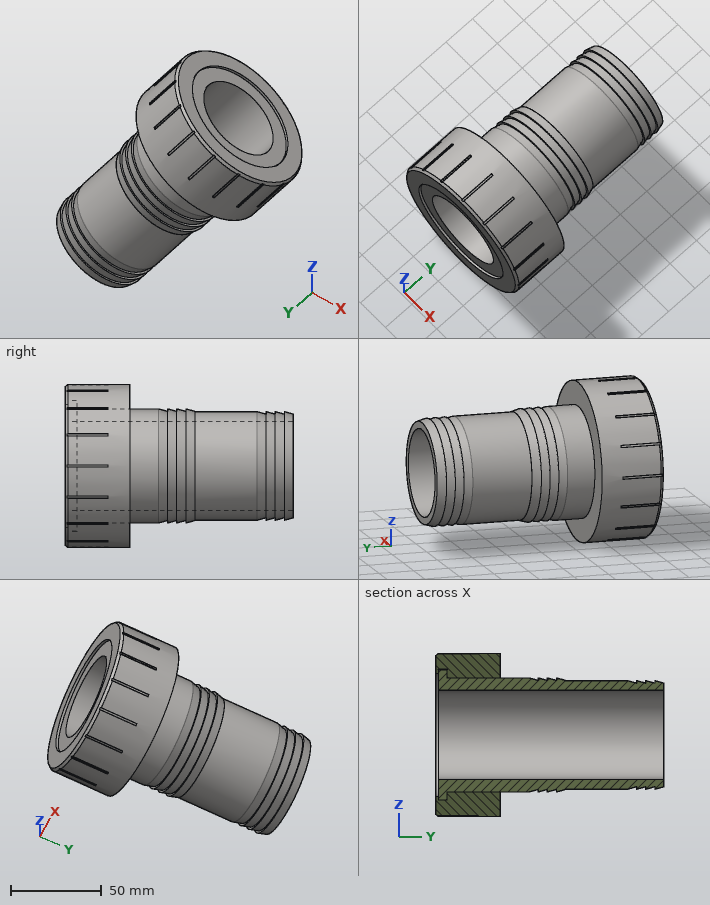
import cadquery as cq

TOTAL_LENGTH = 125.8

NUT_DIAMETER = 90.0
NUT_LENGTH = 35.7
NUT_CHAMFER_WIDTH = 1.3
NUT_CHAMFER_LENGTH = 1.6
NUT_LIP_DIAMETER = 67.5
NUT_GROOVE_DIAMETER = 72.2
GRIP_SLOT_COUNT = 16
GRIP_SLOT_WIDTH = 1.3
GRIP_SLOT_DEPTH = 0.4
GRIP_SLOT_END = 23.7

BORE_DIAMETER = 49.0
FLANGE_DIAMETER = 72.0
FLANGE_RECESS = 1.5
FLANGE_THICKNESS = 5.0
COLLAR_DIAMETER = 63.0
SLEEVE_DIAMETER = 60.0

BARBS_PER_GROUP = 4
BARB_PITCH = 5.0
BARB_HEIGHT = 1.4
COLLAR_BARBS_START = 51.5
SLEEVE_BARBS_START = TOTAL_LENGTH - BARBS_PER_GROUP * BARB_PITCH

FLANGE_BACK = FLANGE_RECESS + FLANGE_THICKNESS


def barb_points(start, crest_radius):
    """(radius, y) points of one group of barbs, from the nut side outward."""
    points = []
    for index in range(BARBS_PER_GROUP):
        barb_start = start + index * BARB_PITCH
        points.append((crest_radius, barb_start))
        points.append((crest_radius - BARB_HEIGHT, barb_start + BARB_PITCH))
    return points


def revolve_about_y(points):
    """Full turn of a closed (radius, y) outline about the Y axis."""
    return cq.Workplane("XY").polyline(points).close().revolve(360, (0, 0, 0), (0, 1, 0))


def make_hose_tail():
    """Bored tube with an end flange, a plain collar and two groups of barbs."""
    bore_radius = BORE_DIAMETER / 2
    flange_radius = FLANGE_DIAMETER / 2
    collar_radius = COLLAR_DIAMETER / 2
    sleeve_radius = SLEEVE_DIAMETER / 2
    collar_barbs_end = COLLAR_BARBS_START + BARBS_PER_GROUP * BARB_PITCH
    outline = [
        (bore_radius, FLANGE_RECESS),
        (flange_radius, FLANGE_RECESS),
        (flange_radius, FLANGE_BACK),
        (collar_radius, FLANGE_BACK),
        *barb_points(COLLAR_BARBS_START, collar_radius),
        (sleeve_radius, collar_barbs_end),
        *barb_points(SLEEVE_BARBS_START, sleeve_radius),
        (bore_radius, TOTAL_LENGTH),
    ]
    return revolve_about_y(outline)


def cut_grip_slots(nut):
    """Shallow lengthwise slots spaced evenly around the nut, open at its face."""
    slot = cq.Workplane("XY").box(GRIP_SLOT_WIDTH, GRIP_SLOT_END, 2 * GRIP_SLOT_DEPTH)
    top_slot = slot.translate((0, GRIP_SLOT_END / 2, NUT_DIAMETER / 2))
    for index in range(GRIP_SLOT_COUNT):
        angle = index * 360 / GRIP_SLOT_COUNT
        nut = nut.cut(top_slot.rotate((0, 0, 0), (0, 1, 0), angle))
    return nut


def make_nut():
    """Slotted ring whose inner groove holds the flange behind a front lip."""
    outer_radius = NUT_DIAMETER / 2
    lip_radius = NUT_LIP_DIAMETER / 2
    nut_groove_radius = NUT_GROOVE_DIAMETER / 2
    collar_radius = COLLAR_DIAMETER / 2
    outline = [
        (lip_radius, 0),
        (outer_radius - NUT_CHAMFER_WIDTH, 0),
        (outer_radius, NUT_CHAMFER_LENGTH),
        (outer_radius, NUT_LENGTH),
        (collar_radius, NUT_LENGTH),
        (collar_radius, FLANGE_BACK),
        (nut_groove_radius, FLANGE_BACK),
        (nut_groove_radius, FLANGE_RECESS),
        (lip_radius, FLANGE_RECESS),
    ]
    return cut_grip_slots(revolve_about_y(outline))


hose_tail = make_hose_tail()
nut = make_nut()

result = cq.Compound.makeCompound([hose_tail.val(), nut.val()])